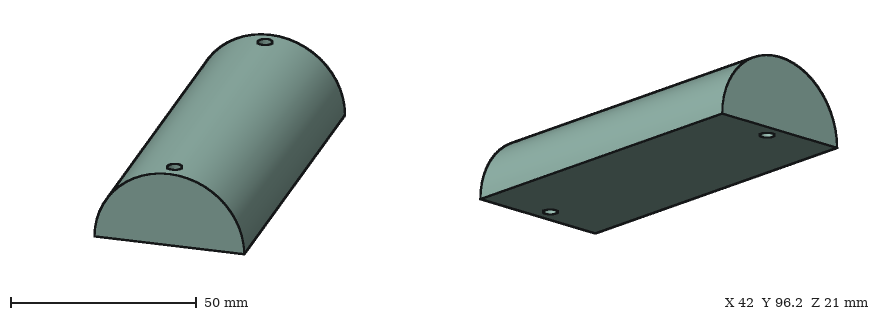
import cadquery as cq

length = 96.2
diameter = 42.0
hole_diameter = 4.0
hole_end_distance = 5.0

radius = diameter / 2
hole_offset = length / 2 - hole_end_distance

bar = (
    cq.Workplane("XZ")
    .moveTo(-radius, 0)
    .threePointArc((0, radius), (radius, 0))
    .close()
    .extrude(length / 2, both=True)
)

holes = (
    cq.Workplane("XY")
    .pushPoints([(0, -hole_offset), (0, hole_offset)])
    .circle(hole_diameter / 2)
    .extrude(radius)
)

result = bar.cut(holes)